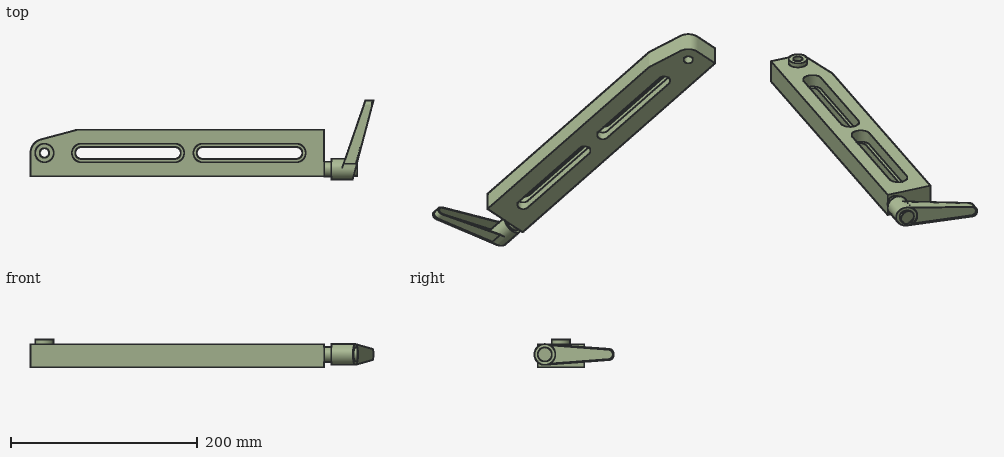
import cadquery as cq
import math

bar_length = 314.8
bar_width = 50.0
bar_height = 25.0
center_y = bar_width / 2
nose_radius = 15.0
nose_angle = math.radians(15)

slot_starts = (44.5, 174.5)
slot_length = 120.2
slot_width = 20.0
slot_ledge = 3.5
slot_step_depth = 14.0

bushing_diameter = 20.0
bushing_height = 5.0
bore_diameter = 10.0

lever_axis_y = 7.7
lever_axis_z = 14.0
stem_diameter = 16.0
stem_length = 7.7
hub_diameter = 22.5
hub_start = bar_length + stem_length
hub_bottom_end = 345.3
button_diameter = 15.0
button_end = 350.5
arm_root_left = 333.5
arm_root_right = 348.2
arm_tip_left = 359.0
arm_tip_right = 367.7
lever_width = 85.0
arm_tip_y = lever_axis_y - hub_diameter / 2 + lever_width
arm_tip_thickness = 11.5
arm_tip_radius = 5.5
arm_wall = 1.0


def make_bar():
    """Bar with a rounded, tapered nose, two stepped slots and the bore."""
    tangent_x = nose_radius * (1 - math.sin(nose_angle))
    tangent_y = center_y + nose_radius * math.cos(nose_angle)
    taper_end_x = tangent_x + (bar_width - tangent_y) / math.tan(nose_angle)
    half_angle = (math.pi / 2 - nose_angle) / 2
    arc_middle = (
        nose_radius * (1 - math.cos(half_angle)),
        center_y + nose_radius * math.sin(half_angle),
    )
    bar = (
        cq.Workplane("XY")
        .lineTo(bar_length, 0)
        .lineTo(bar_length, bar_width)
        .lineTo(taper_end_x, bar_width)
        .lineTo(tangent_x, tangent_y)
        .threePointArc(arc_middle, (0, center_y))
        .close()
        .extrude(bar_height)
    )
    for start in slot_starts:
        bar = bar.cut(make_slot_cutter(start))
    bore = cq.Workplane("XY").center(nose_radius, center_y).circle(bore_diameter / 2).extrude(bar_height)
    return bar.cut(bore)


def make_slot_cutter(start):
    """Wide upper slot with a narrower slot running on through the bar."""
    plane = cq.Workplane("XY", origin=(start + slot_length / 2, center_y, bar_height))
    upper = plane.slot2D(slot_length, slot_width).extrude(-slot_step_depth)
    lower = plane.slot2D(slot_length - 2 * slot_ledge, slot_width - 2 * slot_ledge).extrude(-bar_height)
    return upper.union(lower)


def make_bushing():
    """Plain ring resting on the top of the bar."""
    return (
        cq.Workplane("XY", origin=(nose_radius, center_y, bar_height))
        .circle(bushing_diameter / 2)
        .circle(bore_diameter / 2)
        .extrude(bushing_height)
    )


def lever_cylinder(start, end, diameter):
    """Cylinder on the lever axis between two X positions."""
    return (
        cq.Workplane("YZ", origin=(start, lever_axis_y, lever_axis_z))
        .circle(diameter / 2)
        .extrude(end - start)
    )


def make_hub():
    """Hub whose outer end slopes along the outer edge of the arm."""
    bottom_y = lever_axis_y - hub_diameter / 2
    edge_slope = (arm_tip_right - arm_root_right) / (arm_tip_y - lever_axis_y)
    top_end = hub_bottom_end + edge_slope * hub_diameter
    envelope = (
        cq.Workplane("XY")
        .moveTo(hub_start, bottom_y)
        .lineTo(hub_bottom_end, bottom_y)
        .lineTo(top_end, bottom_y + hub_diameter)
        .lineTo(hub_start, bottom_y + hub_diameter)
        .close()
        .extrude(bar_height + hub_diameter)
    )
    return lever_cylinder(hub_start, top_end, hub_diameter).intersect(envelope)


def arm_block(side_inset, wall_inset):
    """Tapered arm block, with its +X side and its upper, lower and tip walls moved inward."""
    root_half = hub_diameter / 2 - wall_inset
    tip_half = arm_tip_thickness / 2 - wall_inset
    tip_y = arm_tip_y - wall_inset
    side_outline = (
        cq.Workplane("XY")
        .moveTo(arm_root_left, lever_axis_y)
        .lineTo(arm_root_right - side_inset, lever_axis_y)
        .lineTo(arm_tip_right - side_inset, arm_tip_y)
        .lineTo(arm_tip_left, arm_tip_y)
        .close()
        .extrude(bar_height + hub_diameter)
    )
    thickness_outline = (
        cq.Workplane("YZ", origin=(hub_start, 0, lever_axis_z))
        .moveTo(lever_axis_y, -root_half)
        .lineTo(tip_y, -tip_half)
        .lineTo(tip_y, tip_half)
        .lineTo(lever_axis_y, root_half)
        .close()
        .extrude(arm_tip_right - hub_start)
        .edges("|X and >Y")
        .fillet(arm_tip_radius - wall_inset)
    )
    return side_outline.intersect(thickness_outline)


def make_arm():
    """Slanting thin-walled arm, rounded at the tip and open on its -X side."""
    return arm_block(0, 0).cut(arm_block(arm_wall, arm_wall))


def make_lever():
    """Stem, hub, end button and arm as one solid, set against the bar end."""
    stem = lever_cylinder(bar_length, hub_start, stem_diameter)
    button = lever_cylinder(hub_start, button_end, button_diameter)
    return stem.union(make_hub()).union(button).union(make_arm())


bar = make_bar()
bushing = make_bushing()
lever = make_lever()

result = cq.Compound.makeCompound([bar.val(), bushing.val(), lever.val()])